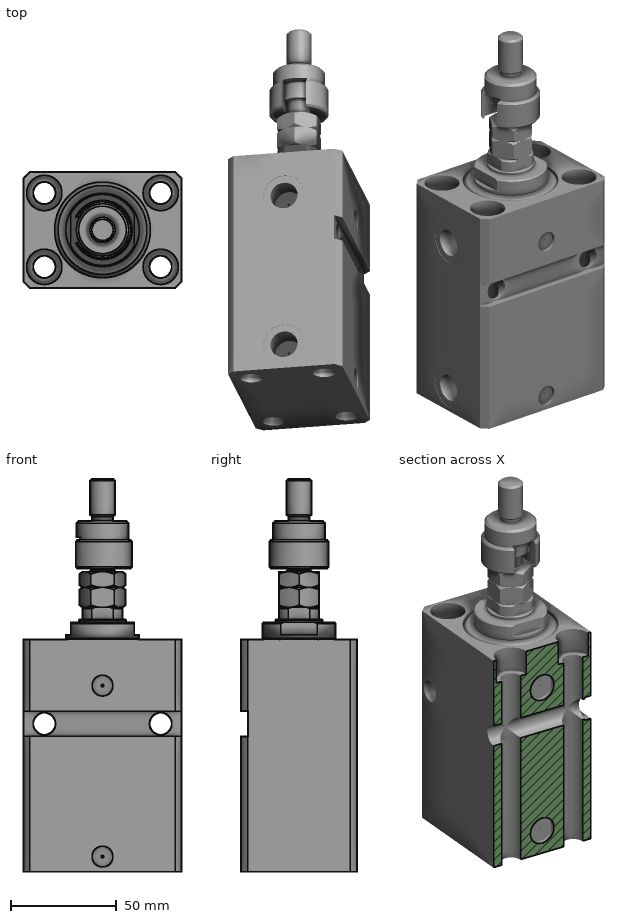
import cadquery as cq
import math

BLOCK_X = 75.0
BLOCK_Y = 55.0
BLOCK_HEIGHT = 110.0
CORNER_CHAMFER = 3.2

BOLT_X = 27.5
BOLT_Y = 17.5
BOLT_DIAMETER = 10.5
BOLT_HEAD_DIAMETER = 16.7
BOLT_HEAD_DEPTH = 12.0

GROOVE_BOTTOM = 64.1
GROOVE_HEIGHT = 11.9
GROOVE_DEPTH = 3.3
CROSS_HOLE_Z = GROOVE_BOTTOM + GROOVE_HEIGHT / 2

PORT_DIAMETER = 13.0
PORT_DEPTH = 12.0
PORT_SEAT_DIAMETER = 20.0
PORT_SEAT_DEPTH = 0.2
PORT_HEIGHTS = (12.0, 88.1)

VENT_DIAMETER = 9.9
VENT_DEPTH = 1.9
VENT_HEIGHTS = (7.3, 88.1)

PILOT_DIAMETER = 1.1
PILOT_DEPTH = 1.9

GLAND_FLANGE_RADIUS = 22.7
GLAND_FLANGE_CHAMFER = 1.7
GLAND_DEPTH = 18.5
GLAND_COLLAR_RADIUS = 34.8 / 2
GLAND_COLLAR_CHAMFER = 0.5
GLAND_TOP = 118.0
GLAND_FLAT_X = 15.0
GLAND_FLAT_BOTTOM = 112.1
GLAND_BOTTOM = BLOCK_HEIGHT - GLAND_DEPTH

ROD_RADIUS = 11.2
ROD_SHOULDER = 119.5
ROD_SHOULDER_CHAMFER = 0.4
ROD_END_RADIUS = 10.8
ROD_END_CHAMFER = 0.5
ROD_TOP = 125.1

WRENCH_SIZE = 19.0
HEX_CHAMFER_HEIGHT = 1.1
LOWER_HEX_TOP = 134.5
UPPER_HEX_TOP = 142.0
NECK_RADIUS = 5.5
NECK_FLARE = 0.5
HEAD_BOTTOM = 149.8
HEAD_TOP = 158.2
HEAD_RADIUS = 8.4
HEAD_CHAMFER = 0.7

COLLAR_RADIUS = 28.0 / 2
COLLAR_CHAMFER_RADIAL = 0.7
COLLAR_CHAMFER_HEIGHT = 1.0
COLLAR_BOTTOM = 143.5
COLLAR_TOP = 157.0
COLLAR_RECESS_RADIUS = 12.5
COLLAR_RECESS_DEPTH = 1.1
CAP_RADIUS = 24.7 / 2
CAP_CHAMFER = 1.1
CAP_TOP = 166.0
STUD_RADIUS = 6.0
STUD_CHAMFER = 1.0
STUD_BOTTOM = 168.0
STUD_TOP = 185.9
STUD_NECK_RADIUS = 5.0
SLOT_WIDTH = 11.9
CHAMBER_RADIUS = 9.3
CHAMBER_BOTTOM = 149.5


def cylinder(radius, bottom, top):
    """Cylinder on the Z axis between two heights."""
    return cq.Workplane("XY").workplane(offset=bottom).circle(radius).extrude(top - bottom)


def revolved(profile):
    """Solid of revolution about Z from (radius, height) points that start and end on the axis."""
    return cq.Workplane("XZ").polyline(profile).close().revolve(360, (0, 0), (0, 1))


def box(size_x, size_y, bottom, top, center=(0, 0)):
    """Upright box between two heights."""
    return (cq.Workplane("XY").workplane(offset=bottom).center(*center)
            .rect(size_x, size_y).extrude(top - bottom))


def stepped_pocket(face, diameter, depth, height):
    """Blind round pocket with a pilot hole, entering along the inward normal of a face plane."""
    plane = face.center(0, height)
    pocket = plane.circle(diameter / 2).extrude(-depth)
    pilot = plane.circle(PILOT_DIAMETER / 2).extrude(-(depth + PILOT_DEPTH))
    return pocket.union(pilot)


def make_housing():
    block = box(BLOCK_X, BLOCK_Y, 0, BLOCK_HEIGHT).edges("|Z").chamfer(CORNER_CHAMFER)

    block = (block.faces(">Z").workplane(origin=(0, 0, BLOCK_HEIGHT))
             .rect(2 * BOLT_X, 2 * BOLT_Y, forConstruction=True).vertices()
             .cboreHole(BOLT_DIAMETER, BOLT_HEAD_DIAMETER, BOLT_HEAD_DEPTH))

    front_y = -BLOCK_Y / 2
    block = block.cut(box(BLOCK_X, 2 * GROOVE_DEPTH, GROOVE_BOTTOM,
                          GROOVE_BOTTOM + GROOVE_HEIGHT, (0, front_y)))
    cross_holes = (cq.Workplane("XZ", origin=(0, 0, CROSS_HOLE_Z))
                   .pushPoints([(-BOLT_X, 0), (BOLT_X, 0)])
                   .circle(BOLT_DIAMETER / 2).extrude(BLOCK_Y, both=True))
    block = block.cut(cross_holes)

    port_face = cq.Workplane("YZ", origin=(-BLOCK_X / 2, 0, 0)).transformed(rotate=(0, 180, 0))
    for height in PORT_HEIGHTS:
        block = block.cut(stepped_pocket(port_face, PORT_DIAMETER, PORT_DEPTH, height))
        seat = port_face.center(0, height).circle(PORT_SEAT_DIAMETER / 2).extrude(-PORT_SEAT_DEPTH)
        block = block.cut(seat)

    vent_face = cq.Workplane("XZ", origin=(0, front_y, 0))
    for height in VENT_HEIGHTS:
        block = block.cut(stepped_pocket(vent_face, VENT_DIAMETER, VENT_DEPTH, height))

    return block.cut(cylinder(GLAND_FLANGE_RADIUS, GLAND_BOTTOM, BLOCK_HEIGHT))


def make_gland():
    flange = cylinder(GLAND_FLANGE_RADIUS, GLAND_BOTTOM, BLOCK_HEIGHT)
    flange = flange.faces(">Z").chamfer(GLAND_FLANGE_CHAMFER)
    collar = cylinder(GLAND_COLLAR_RADIUS, BLOCK_HEIGHT, GLAND_TOP)
    collar = collar.faces("<Z or >Z").chamfer(GLAND_COLLAR_CHAMFER)
    between_flats = box(2 * GLAND_FLAT_X, 2 * GLAND_COLLAR_RADIUS, GLAND_FLAT_BOTTOM, GLAND_TOP)
    below_flats = cylinder(GLAND_COLLAR_RADIUS, BLOCK_HEIGHT, GLAND_FLAT_BOTTOM)
    collar = collar.intersect(between_flats.union(below_flats))
    return flange.union(collar).cut(cylinder(ROD_RADIUS, GLAND_BOTTOM, GLAND_TOP))


def make_rod():
    shaft = cylinder(ROD_RADIUS, GLAND_BOTTOM, ROD_SHOULDER)
    shaft = shaft.faces(">Z").chamfer(ROD_SHOULDER_CHAMFER)
    end = cylinder(ROD_END_RADIUS, ROD_SHOULDER, ROD_TOP)
    end = end.faces(">Z").chamfer(ROD_END_CHAMFER)
    end = end.intersect(box(WRENCH_SIZE, WRENCH_SIZE, ROD_SHOULDER, ROD_TOP))
    return shaft.union(end)


def hexagon(bottom, top):
    """Hexagon with corners on the X axis and conical chamfers at both ends."""
    corner_diameter = 2 * WRENCH_SIZE / math.sqrt(3)
    prism = (cq.Workplane("XY").workplane(offset=bottom)
             .polygon(6, corner_diameter).extrude(top - bottom))
    corner_radius = corner_diameter / 2
    end_radius = WRENCH_SIZE / 2
    envelope = revolved([
        (0, bottom),
        (end_radius, bottom),
        (corner_radius, bottom + HEX_CHAMFER_HEIGHT),
        (corner_radius, top - HEX_CHAMFER_HEIGHT),
        (end_radius, top),
        (0, top),
    ])
    return prism.intersect(envelope)


def make_pin():
    flare_radius = NECK_RADIUS + NECK_FLARE
    neck_and_head = revolved([
        (0, UPPER_HEX_TOP),
        (flare_radius, UPPER_HEX_TOP),
        (NECK_RADIUS, UPPER_HEX_TOP + NECK_FLARE),
        (NECK_RADIUS, HEAD_BOTTOM - NECK_FLARE),
        (flare_radius, HEAD_BOTTOM),
        (HEAD_RADIUS, HEAD_BOTTOM),
        (HEAD_RADIUS, HEAD_TOP - HEAD_CHAMFER),
        (HEAD_RADIUS - HEAD_CHAMFER, HEAD_TOP),
        (0, HEAD_TOP),
    ])
    lower_hex = hexagon(ROD_TOP, LOWER_HEX_TOP)
    upper_hex = hexagon(LOWER_HEX_TOP, UPPER_HEX_TOP)
    return lower_hex.union(upper_hex).union(neck_and_head)


def make_coupler():
    collar_end_radius = COLLAR_RADIUS - COLLAR_CHAMFER_RADIAL
    body = revolved([
        (0, COLLAR_BOTTOM),
        (collar_end_radius, COLLAR_BOTTOM),
        (COLLAR_RADIUS, COLLAR_BOTTOM + COLLAR_CHAMFER_HEIGHT),
        (COLLAR_RADIUS, COLLAR_TOP - COLLAR_CHAMFER_HEIGHT),
        (collar_end_radius, COLLAR_TOP),
        (CAP_RADIUS, COLLAR_TOP),
        (CAP_RADIUS, CAP_TOP - CAP_CHAMFER),
        (CAP_RADIUS - CAP_CHAMFER, CAP_TOP),
        (STUD_NECK_RADIUS, CAP_TOP),
        (STUD_NECK_RADIUS, STUD_BOTTOM),
        (STUD_RADIUS, STUD_BOTTOM + STUD_RADIUS - STUD_NECK_RADIUS),
        (STUD_RADIUS, STUD_TOP - STUD_CHAMFER),
        (STUD_RADIUS - STUD_CHAMFER, STUD_TOP),
        (0, STUD_TOP),
    ])
    slot = box(COLLAR_RADIUS, SLOT_WIDTH, COLLAR_BOTTOM, HEAD_TOP, (-COLLAR_RADIUS / 2, 0))
    slot_end = cylinder(SLOT_WIDTH / 2, COLLAR_BOTTOM, HEAD_TOP)
    chamber = cylinder(CHAMBER_RADIUS, CHAMBER_BOTTOM, HEAD_TOP)
    recess = cylinder(COLLAR_RECESS_RADIUS, COLLAR_BOTTOM, COLLAR_BOTTOM + COLLAR_RECESS_DEPTH)
    return body.cut(slot).cut(slot_end).cut(chamber).cut(recess)


housing = make_housing()
gland = make_gland()
rod = make_rod()
pin = make_pin()
coupler = make_coupler()

result = cq.Compound.makeCompound([
    housing.val(),
    gland.val(),
    rod.val(),
    pin.val(),
    coupler.val(),
])